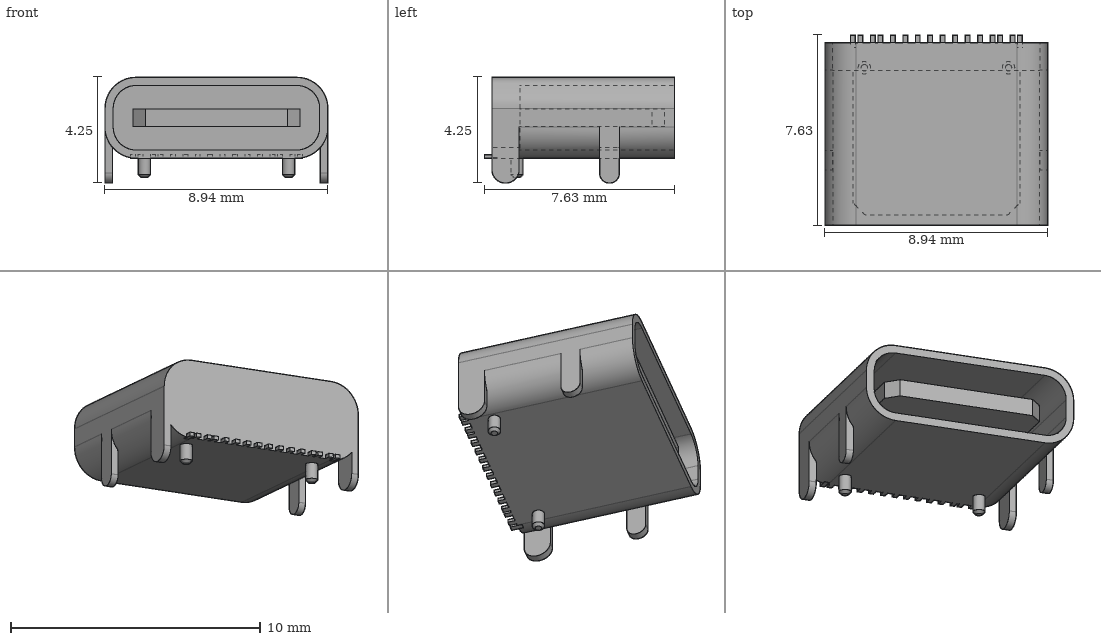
import cadquery as cq

shell_width = 8.944
shell_height = 3.25
shell_length = 7.33
shell_radius = 1.25
wall = 0.33
front_y = -shell_length / 2
back_y = shell_length / 2
mid_z = shell_height / 2

cavity_depth = 6.2
tongue_width = 6.69
tongue_height = 0.70
tongue_setback = 0.41
tongue_chamfer = 0.49
tongue_embed = 0.3

leg_drop = 1.0
leg_thickness = 0.31
legs = [(0.55, 1.1), (4.72, 0.8)]

post_diameter = 0.5
post_length = 0.77
post_chamfer = 0.12
post_x = 2.89
post_back_offset = 1.01

tail_offsets = [0.25, 0.75, 1.25, 1.75, 2.25, 2.55, 3.05, 3.35]
tail_width = 0.2
tail_thickness = 0.15
tail_length = 0.3
tail_embed = 0.2


def rounded_bar(width, height, radius, length):
    """Bar with rounded long edges, running back from the mouth plane."""
    return (
        cq.Workplane("XY")
        .box(width, length, height, centered=(True, False, True))
        .edges("|Y")
        .fillet(radius)
        .translate((0, front_y, mid_z))
    )


def make_shell():
    """Rounded shell with a blind cavity open at the mouth."""
    outer = rounded_bar(shell_width, shell_height, shell_radius, shell_length)
    cavity = rounded_bar(
        shell_width - 2 * wall,
        shell_height - 2 * wall,
        shell_radius - wall,
        cavity_depth,
    )
    return outer.cut(cavity)


def make_tongue():
    """Flat tongue rooted in the cavity floor, with chamfered front corners."""
    length = cavity_depth - tongue_setback + tongue_embed
    return (
        cq.Workplane("XY")
        .box(tongue_width, length, tongue_height, centered=(True, False, True))
        .edges("|Z and <Y")
        .chamfer(tongue_chamfer)
        .translate((0, front_y + tongue_setback, mid_z))
    )


def make_leg(side, back_offset, width):
    """Upright strip flush with the shell side (side is -1 or 1), with a full-round tip."""
    radius = width / 2
    tip_z = -leg_drop
    centre_y = back_y - back_offset
    top_z = shell_height - shell_radius
    inner_x = shell_width / 2 - leg_thickness
    start_x = inner_x if side > 0 else -shell_width / 2
    return (
        cq.Workplane("YZ", origin=(start_x, centre_y, 0))
        .moveTo(-radius, top_z)
        .lineTo(-radius, tip_z + radius)
        .threePointArc((0, tip_z), (radius, tip_z + radius))
        .lineTo(radius, top_z)
        .close()
        .extrude(leg_thickness)
    )


def make_post(side):
    """Round post with a chamfered tip, rooted halfway into the shell floor (side is -1 or 1)."""
    root_z = wall / 2
    return (
        cq.Workplane("XY", origin=(side * post_x, back_y - post_back_offset, root_z))
        .circle(post_diameter / 2)
        .extrude(-(post_length + root_z))
        .faces("<Z")
        .chamfer(post_chamfer)
    )


def make_tail(x):
    """Contact tail leaving the back of the shell, level with its underside."""
    return (
        cq.Workplane("XY")
        .box(tail_width, tail_length + tail_embed, tail_thickness, centered=(True, False, False))
        .translate((x, back_y - tail_embed, 0))
    )


result = make_shell().union(make_tongue())
for side in (-1, 1):
    for back_offset, width in legs:
        result = result.union(make_leg(side, back_offset, width))
    result = result.union(make_post(side))
    for offset in tail_offsets:
        result = result.union(make_tail(side * offset))